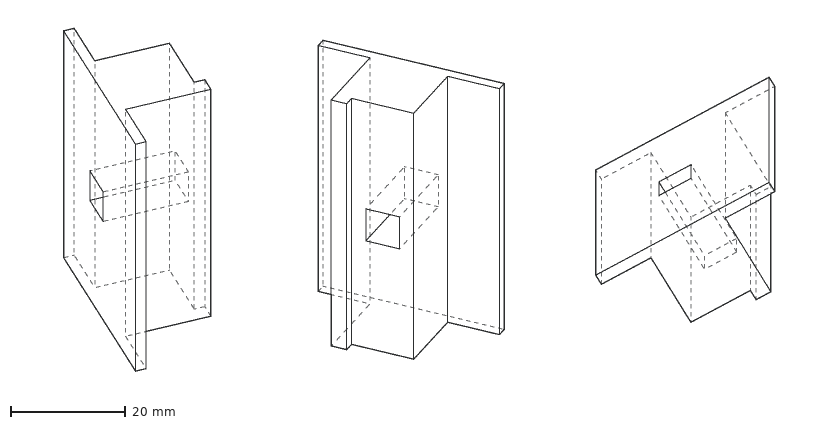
import cadquery as cq

plate_width = 35
plate_thickness = 2
height = 50

block_width = 15
block_depth = 14
lip_width = 3
lip_depth = 2

hole_size = 6.5
hole_x = -lip_width / 2

total_depth = plate_thickness + block_depth + lip_depth
block_right = block_width / 2


def upright_box(x_min, x_max, y_min, y_max):
    """Full-height box, centred on Z = 0, between the given X and Y limits."""
    return (
        cq.Workplane("XY")
        .box(x_max - x_min, y_max - y_min, height, centered=(False, False, True))
        .translate((x_min, y_min, 0))
    )


plate = upright_box(-plate_width / 2, plate_width / 2, 0, plate_thickness)
block = upright_box(-block_right, block_right, 0, plate_thickness + block_depth)
lip = upright_box(block_right - lip_width, block_right, 0, total_depth)

hole = (
    cq.Workplane("XY")
    .box(hole_size, total_depth, hole_size, centered=(True, False, True))
    .translate((hole_x, 0, 0))
)

result = plate.union(block).union(lip).cut(hole)